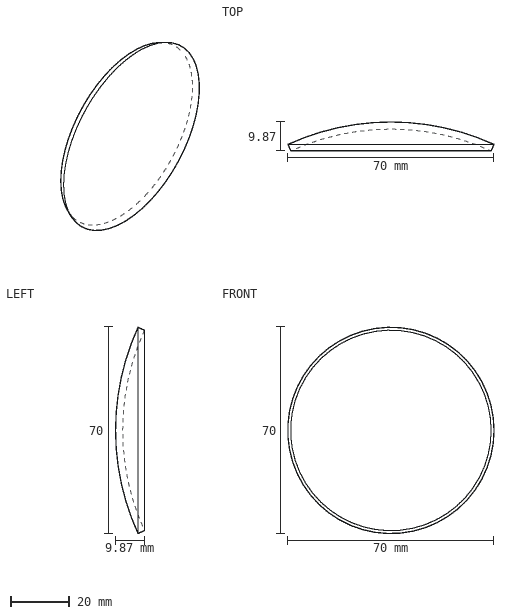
import cadquery as cq
import math

rim_diameter = 70.0
outer_sphere_radius = 84.0
wall_thickness = 2.45

rim_radius = rim_diameter / 2
inner_sphere_radius = outer_sphere_radius - wall_thickness

rim_half_angle = math.asin(rim_radius / outer_sphere_radius)


def meridian_point(sphere_radius, angle):
    """Point on a sphere in the XY plane, with the angle taken from the +Y axis."""
    return (sphere_radius * math.sin(angle), sphere_radius * math.cos(angle))


half_section = (
    cq.Workplane("XY")
    .moveTo(*meridian_point(inner_sphere_radius, 0))
    .lineTo(*meridian_point(outer_sphere_radius, 0))
    .threePointArc(
        meridian_point(outer_sphere_radius, rim_half_angle / 2),
        meridian_point(outer_sphere_radius, rim_half_angle),
    )
    .lineTo(*meridian_point(inner_sphere_radius, rim_half_angle))
    .threePointArc(
        meridian_point(inner_sphere_radius, rim_half_angle / 2),
        meridian_point(inner_sphere_radius, 0),
    )
    .close()
)

result = half_section.revolve(360, (0, 0, 0), (0, 1, 0))